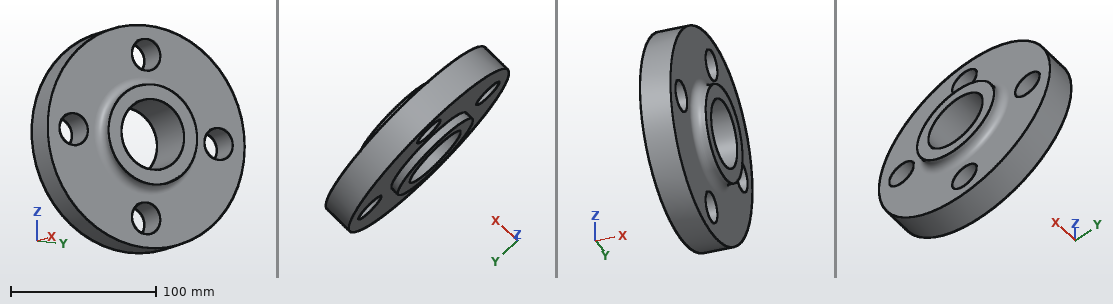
import cadquery as cq

flange_diameter = 155.5
flange_thickness = 22.5

face_diameter = 73.0
face_height = 6.2

hub_diameter = 69.9
hub_height = 9.3
hub_fillet = 5.9

bore_diameter = 49.3
bolt_hole_diameter = 22.2
bolt_circle_diameter = 114.3
bolt_count = 4

total_length = face_height + flange_thickness + hub_height


def disc(diameter, start, length):
    """Cylinder along +X starting at the given X position."""
    return cq.Workplane("YZ", origin=(start, 0, 0)).circle(diameter / 2).extrude(length)


def hub_blend():
    """Flared ring whose concave arc is tangent to the disc face and the hub wall."""
    hub_radius = hub_diameter / 2
    flare_radius = hub_radius + hub_fillet
    flare_end = flange_thickness + hub_fillet
    arc_offset = hub_fillet * (1 - 0.5 ** 0.5)
    return (
        cq.Workplane("XY")
        .moveTo(flange_thickness, 0)
        .lineTo(flange_thickness, flare_radius)
        .threePointArc((flange_thickness + arc_offset, hub_radius + arc_offset), (flare_end, hub_radius))
        .lineTo(flare_end, 0)
        .close()
        .revolve(360, (0, 0, 0), (1, 0, 0))
    )


body = (
    disc(flange_diameter, 0, flange_thickness)
    .union(disc(face_diameter, -face_height, face_height))
    .union(disc(hub_diameter, flange_thickness, hub_height))
    .union(hub_blend())
)

bore = disc(bore_diameter, -face_height, total_length)
bolt_holes = (
    cq.Workplane("YZ")
    .polarArray(bolt_circle_diameter / 2, 0, 360, bolt_count)
    .circle(bolt_hole_diameter / 2)
    .extrude(flange_thickness)
)

result = body.cut(bore).cut(bolt_holes)